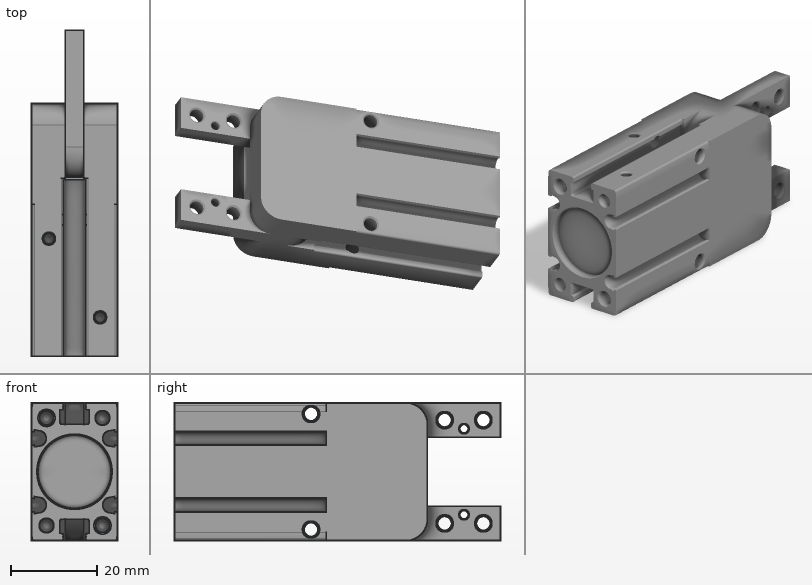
import cadquery as cq
import math


width = 20.0
height = 32.0
body_length = 58.8
nose_radius = 5.0
half_width = width / 2
half_height = height / 2

profile_length = 35.3
corner_radius = 0.55
corner_run = 1.95
corner_inset = 0.12

side_slot_z = 7.75
side_mouth = 3.3
side_throat = 3.0
side_lip = 0.7
side_undercut = 4.0
side_slot_diameter = 3.6
side_slot_centre_depth = 1.65

t_length = 41.4
t_mouth = 5.25
t_width = 6.75
t_depth = 5.0
t_lip = 1.65
t_fillet = 0.4
t_floor_fillet = 0.5

m4_core = 3.24
m4_countersink = 4.0
m4_edge_break = 3.4
m3_core = 2.46
m3_countersink = 3.0
drill_point_angle = 118.0

rear_hole_x = 6.5
rear_hole_z = 12.5
rear_hole_depth = 5.0
cross_hole_y = 31.75
cross_hole_z = 13.45
port_x = 5.95
port_depth = 3.0
port_places = ((-port_x, 27.35), (port_x, 9.05))

bore_diameter = 17.0
bore_depth = 2.0
bore_chamfer = 0.25

passage_start = 41.15
finger_width = 4.4
finger_height = 8.0
finger_tip_y = 75.8
finger_heel_y = 41.6
finger_heel_radius = 7.1
finger_hole_end = 4.0
finger_hole_pitch = 9.0
finger_hole_edge = 4.0
pin_hole_edge = 6.0
pin_hole_diameter = 2.0
pin_hole_countersink = 2.4

rear_plane = cq.Plane(origin=(0, 0, 0), xDir=(1, 0, 0), normal=(0, -1, 0))


def drill(diameter, countersink, depth, start, direction):
    """Blind countersunk hole with a conical drill point."""
    radius = diameter / 2
    tip = radius / math.tan(math.radians(drill_point_angle / 2))
    start = cq.Vector(*start)
    direction = cq.Vector(*direction)
    tool = cq.Solid.makeCylinder(radius, depth, start, direction)
    tool = tool.fuse(cq.Solid.makeCone(radius, 0, tip, start + direction * depth, direction))
    sink = countersink / 2 - radius
    return tool.fuse(cq.Solid.makeCone(radius + sink, radius, sink, start, direction))


def through_x(diameter, countersink, length, y, z):
    """Hole along X through the given length, countersunk at both ends."""
    radius = diameter / 2
    sink = countersink / 2 - radius
    tool = cq.Solid.makeCylinder(radius, length, cq.Vector(-length / 2, y, z), cq.Vector(1, 0, 0))
    for side in (-1, 1):
        mouth = cq.Vector(side * length / 2, y, z)
        cone = cq.Solid.makeCone(radius + sink, radius, sink, mouth, cq.Vector(-side, 0, 0))
        tool = tool.fuse(cone)
    return tool


def corner_waste():
    """Strip removed from the upper +X edge: a shallow arc followed by a rounded corner."""
    arc_start_z = half_height - corner_run
    arc_rise = corner_run - corner_radius
    arc_radius = (arc_rise**2 + corner_inset**2) / (2 * corner_inset)
    half_angle = math.asin(arc_rise / arc_radius) / 2
    arc_middle = (
        half_width - arc_radius * (1 - math.cos(half_angle)),
        arc_start_z + arc_radius * math.sin(half_angle),
    )
    arc_end_x = half_width - corner_inset
    return (
        cq.Workplane(rear_plane)
        .moveTo(half_width, arc_start_z)
        .threePointArc(arc_middle, (arc_end_x, half_height - corner_radius))
        .radiusArc((arc_end_x - corner_radius, half_height), -corner_radius)
        .lineTo(half_width, half_height)
        .close()
        .extrude(-profile_length)
    )


def side_slot():
    """Undercut slot with a tapered mouth and a round bottom in the upper half of the +X side."""
    mouth_half = side_mouth / 2
    throat_half = side_throat / 2
    undercut_half = side_undercut / 2
    radius = side_slot_diameter / 2
    lip_x = half_width - side_lip
    centre_x = half_width - side_slot_centre_depth
    return (
        cq.Workplane(rear_plane)
        .moveTo(half_width, side_slot_z + mouth_half)
        .lineTo(lip_x, side_slot_z + throat_half)
        .lineTo(lip_x, side_slot_z + undercut_half)
        .lineTo(centre_x, side_slot_z + radius)
        .threePointArc((centre_x - radius, side_slot_z), (centre_x, side_slot_z - radius))
        .lineTo(lip_x, side_slot_z - undercut_half)
        .lineTo(lip_x, side_slot_z - throat_half)
        .lineTo(half_width, side_slot_z - mouth_half)
        .close()
        .extrude(-profile_length)
    )


def t_slot():
    """T-slot in the top face, with rounded lips and rounded floor corners."""
    mouth_half = t_mouth / 2
    floor_z = half_height - t_depth
    lip_z = half_height - t_lip
    wide = (
        cq.Workplane(rear_plane)
        .rect(t_width, lip_z - floor_z)
        .extrude(-t_length)
        .translate((0, 0, (lip_z + floor_z) / 2))
        .edges("|Y and <Z")
        .fillet(t_floor_fillet)
    )
    mouth = (
        cq.Workplane(rear_plane)
        .moveTo(mouth_half + t_fillet, half_height)
        .radiusArc((mouth_half, half_height - t_fillet), -t_fillet)
        .lineTo(mouth_half, lip_z + t_fillet)
        .radiusArc((mouth_half + t_fillet, lip_z), -t_fillet)
        .lineTo(-mouth_half - t_fillet, lip_z)
        .radiusArc((-mouth_half, lip_z + t_fillet), -t_fillet)
        .lineTo(-mouth_half, half_height - t_fillet)
        .radiusArc((-mouth_half - t_fillet, half_height), -t_fillet)
        .close()
        .extrude(-t_length)
    )
    return wide.union(mouth)


def make_housing():
    body = (
        cq.Workplane("XY")
        .box(width, body_length, height, centered=(True, False, True))
        .edges("|X and >Y")
        .fillet(nose_radius)
    )

    for waste in (corner_waste(), side_slot()):
        upper_pair = waste.union(waste.mirror("YZ"))
        body = body.cut(upper_pair).cut(upper_pair.mirror("XY"))

    upper_t_slot = t_slot()
    body = body.cut(upper_t_slot).cut(upper_t_slot.mirror("XY"))

    passage = cq.Workplane("XY").box(
        finger_width, body_length - passage_start, height, centered=(True, False, True)
    )
    body = body.cut(passage.translate((0, passage_start, 0)))

    radius = bore_diameter / 2
    y_axis = cq.Vector(0, 1, 0)
    body = body.cut(cq.Workplane(cq.Solid.makeCylinder(radius, bore_depth, cq.Vector(0, 0, 0), y_axis)))
    rim = cq.Solid.makeCone(radius + bore_chamfer, radius, bore_chamfer, cq.Vector(0, 0, 0), y_axis)
    body = body.cut(cq.Workplane(rim))

    for side_x in (-1, 1):
        for side_z in (-1, 1):
            countersink = m4_edge_break if side_x == side_z else m4_countersink
            start = (side_x * rear_hole_x, 0, side_z * rear_hole_z)
            body = body.cut(cq.Workplane(drill(m4_core, countersink, rear_hole_depth, start, (0, 1, 0))))

    for x, y in port_places:
        start = (x, y, half_height)
        body = body.cut(cq.Workplane(drill(m3_core, m3_countersink, port_depth, start, (0, 0, -1))))

    for z in (-cross_hole_z, cross_hole_z):
        body = body.cut(cq.Workplane(through_x(m4_core, m4_countersink, width, cross_hole_y, z)))
    return body


def make_upper_finger():
    outer_z = half_height
    inner_z = half_height - finger_height
    finger = (
        cq.Workplane("XY")
        .box(finger_width, finger_tip_y - finger_heel_y, finger_height, centered=(True, False, False))
        .translate((0, finger_heel_y, inner_z))
        .edges("|X and <Y and >Z")
        .fillet(finger_heel_radius)
    )
    first_y = finger_tip_y - finger_hole_end
    for y in (first_y, first_y - finger_hole_pitch):
        hole = through_x(m4_core, m4_countersink, finger_width, y, outer_z - finger_hole_edge)
        finger = finger.cut(cq.Workplane(hole))
    pin_y = first_y - finger_hole_pitch / 2
    pin_hole = through_x(
        pin_hole_diameter, pin_hole_countersink, finger_width, pin_y, outer_z - pin_hole_edge
    )
    return finger.cut(cq.Workplane(pin_hole))


housing = make_housing()
upper_finger = make_upper_finger()
fingers = [upper_finger, upper_finger.mirror("XY")]

result = cq.Compound.makeCompound([housing.val(), *[finger.val() for finger in fingers]])